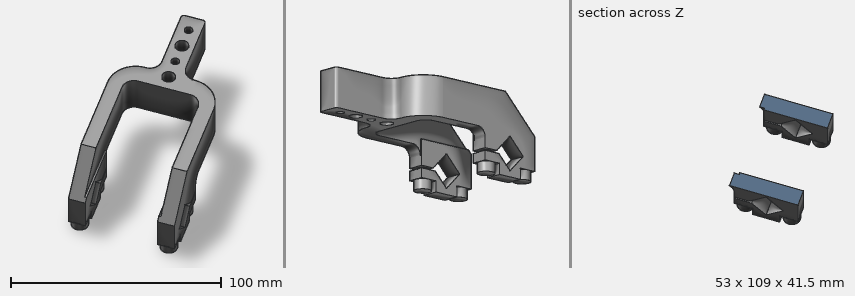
import cadquery as cq

total_length = 109.0
fork_width = 53.0
body_height = 20.0
leg_thickness = 7.5
crossbar_thickness = 9.0
outer_corner_radius = 14.0
inner_corner_radius = 6.0
inner_width = fork_width - 2 * leg_thickness

tongue_width = 12.0
tongue_length = 36.0
tongue_root_radius = 6.0
tongue_tip_radius = 1.5
small_hole_diameter = 4.0
large_hole_diameter = 6.5
hole_end_distance = 8.0
hole_pitch = 10.0
hole_diameters = (small_hole_diameter, large_hole_diameter, small_hole_diameter, large_hole_diameter)
crossbar_back = total_length - tongue_length
crossbar_front = crossbar_back - crossbar_thickness

clamp_length = 32.0
clamp_drop = 16.0
clamp_root_radius = 5.0
nose_chamfer = 19.0
pad_thickness = 1.0
pad_top = 3.0
clamp_width = leg_thickness + pad_thickness
foot_width = 13.5
foot_height = 5.5
foot_bottom = -clamp_drop - foot_height

bar_size = 12.0
bar_y = clamp_length / 2
bar_z = -10.0
slit_height = 1.25

screw_head_diameter = 8.5
screw_head_height = 5.0
screw_shank_diameter = 5.0
screw_spacing = 23.0
front_screw_y = bar_y - screw_spacing / 2
back_screw_y = bar_y + screw_spacing / 2
screw_x = (fork_width - clamp_width) / 2


def make_box(x_min, x_max, y_min, y_max, z_min, z_max):
    size = (x_max - x_min, y_max - y_min, z_max - z_min)
    return cq.Workplane("XY").box(*size, centered=False).translate((x_min, y_min, z_min))


def make_fork():
    half_width = fork_width / 2
    half_inner = inner_width / 2
    half_tongue = tongue_width / 2
    head = make_box(-half_width, half_width, 0, crossbar_back, 0, body_height)
    head = head.edges("|Z and >Y").fillet(outer_corner_radius)
    opening = make_box(-half_inner, half_inner, 0, crossbar_front, 0, body_height)
    opening = opening.edges("|Z and >Y").fillet(inner_corner_radius)
    tongue = make_box(-half_tongue, half_tongue, crossbar_front, total_length, 0, body_height)
    tongue = tongue.edges("|Z and >Y").fillet(tongue_tip_radius)
    fork = head.union(tongue)
    root_corners = fork.edges(cq.selectors.BoxSelector(
        (-tongue_width, crossbar_front, 0),
        (tongue_width, crossbar_back + tongue_width, body_height),
    )).edges("|Z")
    fork = root_corners.fillet(tongue_root_radius)
    return fork.cut(opening)


def cut_tongue_holes(fork):
    for index, diameter in enumerate(hole_diameters):
        hole_y = total_length - hole_end_distance - index * hole_pitch
        hole = cq.Workplane("XY").center(0, hole_y).circle(diameter / 2).extrude(body_height)
        fork = fork.cut(hole)
    return fork


def make_root_fillet(x_min, x_max):
    """Concave blend between the back of the clamp and the underside of the leg."""
    profile = (
        cq.Workplane("YZ", origin=(x_min, 0, 0))
        .moveTo(clamp_length, 0)
        .lineTo(clamp_length + clamp_root_radius, 0)
        .radiusArc((clamp_length, -clamp_root_radius), -clamp_root_radius)
        .close()
    )
    return profile.extrude(x_max - x_min)


def make_clamp():
    """Clamp of the +X leg, without its screws."""
    x_max = fork_width / 2
    x_leg = x_max - leg_thickness
    x_min = x_max - clamp_width
    block = make_box(x_min, x_max, 0, clamp_length, -clamp_drop, pad_top)
    foot = make_box(x_min, x_max, bar_y - foot_width / 2, bar_y + foot_width / 2, foot_bottom, -clamp_drop)
    opening = (
        cq.Workplane("XY")
        .box(clamp_width, bar_size, bar_size)
        .rotate((0, 0, 0), (1, 0, 0), 45)
        .translate((screw_x, bar_y, bar_z))
    )
    slit = make_box(x_min, x_max, bar_y, clamp_length, bar_z - slit_height, bar_z)
    clamp = block.union(foot).union(make_root_fillet(x_leg, x_max))
    return clamp.cut(opening).cut(slit)


def make_screws():
    """Two heads under the +X clamp and the shank that crosses its slit."""
    heads = (
        cq.Workplane("XY", origin=(screw_x, 0, -clamp_drop))
        .pushPoints([(0, front_screw_y), (0, back_screw_y)])
        .circle(screw_head_diameter / 2)
        .extrude(-screw_head_height)
    )
    shank = (
        cq.Workplane("XY", origin=(screw_x, back_screw_y, -clamp_drop))
        .circle(screw_shank_diameter / 2)
        .extrude(bar_z + clamp_drop)
    )
    return heads.union(shank)


def make_nose_cut():
    """Wedge that bevels the upper front corner of both legs."""
    return (
        cq.Workplane("YZ", origin=(-fork_width / 2, 0, 0))
        .moveTo(0, body_height)
        .lineTo(nose_chamfer, body_height)
        .lineTo(0, body_height - nose_chamfer)
        .close()
        .extrude(fork_width)
    )


fork = cut_tongue_holes(make_fork())
right_clamp = make_clamp().union(make_screws())
left_clamp = right_clamp.mirror("YZ")
result = fork.union(right_clamp).union(left_clamp).cut(make_nose_cut())